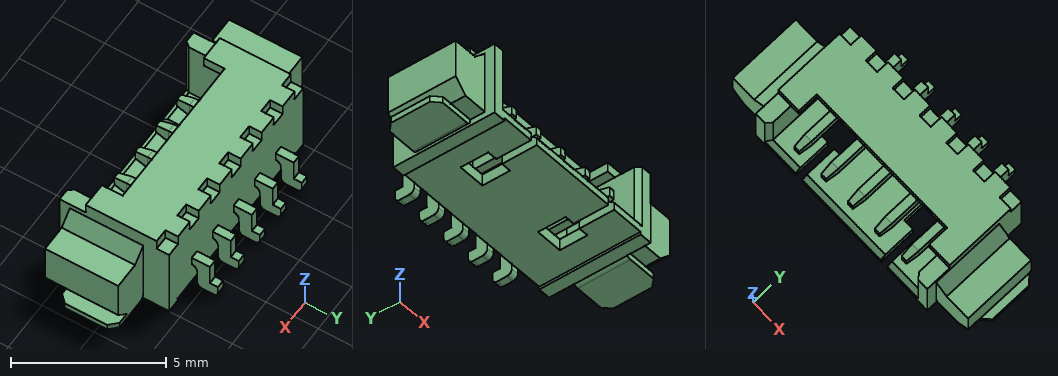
import cadquery as cq
import math


body_width = 8.0
body_depth = 4.2
total_height = 3.4
cover_thickness = 0.4
wall_top = total_height - cover_thickness
underside_gap = 0.11
side_foot_width = 0.51

side_wall = 0.59
floor_top = 0.59
cavity_depth = 3.0
mouth_chamfer_depth = 0.2
mouth_chamfer_width = 0.17
cavity_half_width = body_width / 2 - side_wall

cover_front = 1.0
cover_cutout_depth = 0.8
cover_cutout_width = 6.09
cover_notch_width = 0.52
cover_notch_depth = 0.48

slot_offset = 1.98
slot_width = 0.3
window_front = 1.44
window_length = 1.14
window_width = 1.12

pin_count = 5
pin_row_span = 5.0
pin_pitch = pin_row_span / (pin_count - 1)
pin_width = 0.32
pin_bottom = 1.04
pin_height = 0.57
pin_tip_front = 0.4
pin_taper_length = 0.5
pin_tip_width = 0.23
pin_tip_height = 0.36
pin_top = pin_bottom + pin_height
pin_shank_front = pin_tip_front + pin_taper_length
pin_positions = [(i - (pin_count - 1) / 2) * pin_pitch for i in range(pin_count)]

tail_start = 3.53
tail_top = 1.37
tail_end = 5.2
tail_leg_front = 4.4
tail_leg_back = 4.89
tail_foot_thickness = 0.51
tail_bend_radius = 0.25
tail_foot_radius = 0.2

ear_front = 0.4
ear_back = 3.2
ear_half_span = 5.5
ear_top = 2.3
ear_gusset = 0.49
ear_lower_chamfer = 0.5
tab_half_span = 5.7
tab_front = 1.0
tab_thickness = 0.25
tab_chamfer = 0.3
tab_bend_radius = 0.2


def block(x_range, y_range, z_range):
    """Axis-aligned box spanning the three (low, high) ranges."""
    (x0, x1), (y0, y1), (z0, z1) = x_range, y_range, z_range
    return cq.Workplane("XY").box(x1 - x0, y1 - y0, z1 - z0, centered=False).translate((x0, y0, z0))


def centred_block(x_centre, width, y_range, z_range):
    """Box of the given width centred on an X position."""
    return block((x_centre - width / 2, x_centre + width / 2), y_range, z_range)


def make_cavity():
    """Straight cavity plus the widened mouth on its two sides and floor."""
    cavity = centred_block(0, 2 * cavity_half_width, (0, cavity_depth), (floor_top, wall_top))
    mouth_half_width = cavity_half_width + mouth_chamfer_width
    cavity_half_height = wall_top - floor_top
    mouth_half_height = cavity_half_height + mouth_chamfer_width
    mouth = (
        cq.Workplane("XZ", origin=(0, 0, wall_top))
        .rect(2 * mouth_half_width, 2 * mouth_half_height)
        .workplane(offset=-mouth_chamfer_depth)
        .rect(2 * cavity_half_width, 2 * cavity_half_height)
        .loft(ruled=True)
    )
    below_cover = centred_block(0, body_width, (0, mouth_chamfer_depth), (0, wall_top))
    return cavity.union(mouth.intersect(below_cover))


def make_cover():
    """Top plate with a front cutout and a row of notches along its back edge."""
    z_range = (wall_top, total_height)
    cover = centred_block(0, body_width, (cover_front, body_depth), z_range)
    cutout_back = cover_front + cover_cutout_depth
    cover = cover.cut(centred_block(0, cover_cutout_width, (cover_front, cutout_back), z_range))
    corner_notch = body_width / 2 - cover_notch_width / 2
    for x in [-corner_notch] + pin_positions + [corner_notch]:
        notch_range = (body_depth - cover_notch_depth, body_depth)
        cover = cover.cut(centred_block(x, cover_notch_width, notch_range, z_range))
    return cover


def make_housing():
    """Hollow body, relieved underneath, with slotted floor and cover."""
    housing = centred_block(0, body_width, (0, body_depth), (0, wall_top))
    relief_width = body_width - 2 * side_foot_width
    housing = housing.cut(centred_block(0, relief_width, (0, body_depth), (0, underside_gap)))
    housing = housing.cut(make_cavity())
    window_range = (window_front, window_front + window_length)
    for x in (-slot_offset, slot_offset):
        housing = housing.cut(centred_block(x, slot_width, (0, window_front), (0, floor_top)))
        housing = housing.cut(centred_block(x, window_width, window_range, (0, floor_top)))
    return housing.union(make_cover())


def make_pin():
    """One pin centred on X = 0: tapered tip, straight shank and bent solder tail."""
    shank = centred_block(0, pin_width, (pin_shank_front, tail_start), (pin_bottom, pin_top))
    tip = (
        cq.Workplane("XZ", origin=(0, pin_tip_front, (pin_bottom + pin_top) / 2))
        .rect(pin_tip_width, pin_tip_height)
        .workplane(offset=-pin_taper_length)
        .rect(pin_width, pin_height)
        .loft(ruled=True)
    )
    arc_near = math.sqrt(0.5)
    arc_far = 1 - arc_near
    bend_y = tail_leg_front - tail_bend_radius
    bend_z = pin_bottom - tail_bend_radius
    tail = (
        cq.Workplane("YZ", origin=(-pin_width / 2, 0, 0))
        .moveTo(tail_start, tail_top)
        .lineTo(tail_leg_back, tail_top)
        .lineTo(tail_leg_back, tail_foot_thickness)
        .lineTo(tail_end, tail_foot_thickness)
        .lineTo(tail_end, tail_foot_radius)
        .threePointArc(
            (tail_end - arc_far * tail_foot_radius, arc_far * tail_foot_radius),
            (tail_end - tail_foot_radius, 0),
        )
        .lineTo(tail_leg_front + tail_foot_radius, 0)
        .threePointArc(
            (tail_leg_front + arc_far * tail_foot_radius, arc_far * tail_foot_radius),
            (tail_leg_front, tail_foot_radius),
        )
        .lineTo(tail_leg_front, bend_z)
        .threePointArc(
            (bend_y + arc_near * tail_bend_radius, bend_z + arc_near * tail_bend_radius),
            (bend_y, pin_bottom),
        )
        .lineTo(tail_start, pin_bottom)
        .close()
        .extrude(pin_width)
    )
    return shank.union(tip).union(tail)


def make_ear():
    """Ear on the +X side: gusset above, chamfer below."""
    wall_x = body_width / 2
    return (
        cq.Workplane("XZ", origin=(0, ear_back, 0))
        .moveTo(wall_x, tab_thickness)
        .lineTo(ear_half_span - ear_lower_chamfer, tab_thickness)
        .lineTo(ear_half_span, tab_thickness + ear_lower_chamfer)
        .lineTo(ear_half_span, ear_top)
        .lineTo(wall_x + ear_gusset, ear_top)
        .lineTo(wall_x, ear_top + ear_gusset)
        .close()
        .extrude(ear_back - ear_front)
    )


def make_tab():
    """Solder tab under the +X ear: chamfered outer corners, rounded where it meets the wall."""
    tab = block((body_width / 2, tab_half_span), (tab_front, ear_back), (0, tab_thickness))
    tab = tab.edges("|Z and >X").chamfer(tab_chamfer)
    return tab.edges("<X and <Z").fillet(tab_bend_radius)


result = make_housing()
pin = make_pin()
for x in pin_positions:
    result = result.union(pin.translate((x, 0, 0)))
side = make_ear().union(make_tab())
result = result.union(side).union(side.mirror("YZ"))